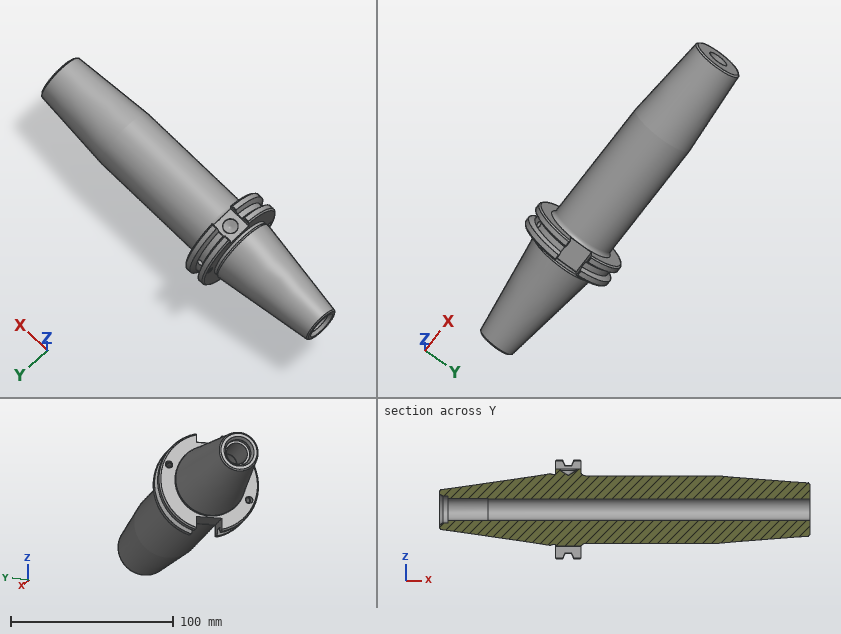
import cadquery as cq
import math


GAUGE_DIAMETER = 44.45
TAPER_RATE = 7 / 24
SHANK_LENGTH = 68.25
SHANK_CHAMFER = 0.8
NECK_DIAMETER = 43.6
NECK_RAMP_LENGTH = 1.2

FLANGE_DIAMETER = 63.5
FLANGE_START = 3.18
FLANGE_END = 19.05
FLANGE_CHAMFER = 1.0
GROOVE_DIAMETER = 56.36
GROOVE_CENTER = 11.1
GROOVE_FLOOR_WIDTH = 3.9
GROOVE_MOUTH_WIDTH = 7.2

BODY_DIAMETER = 42.0
BODY_FILLET = 3.4
BODY_FILLET_HEIGHT = 1.55
NOSE_LENGTH = 160.0
NOSE_DIAMETER = 33.0
NOSE_TAPER_ANGLE = 4.5
NOSE_CHAMFER = 1.0

BORE_DIAMETER = 13.0
THREAD_DIAMETER = 13.39
THREAD_DEPTH = 30.0
COUNTERBORE_DIAMETER = 16.3
COUNTERBORE_DEPTH = 5.2
ENTRY_DIAMETER = 19.05
ENTRY_ANGLE = 30.0

SLOT_WIDTH = 16.1
SLOT_CENTER = (FLANGE_START + FLANGE_END) / 2
UPPER_SLOT_HEIGHT = 25.0
LOWER_SLOT_HEIGHT = 22.6
SLOT_EDGE_CHAMFER = 0.6
DIMPLE_DIAMETER = 9.53
DIMPLE_DEPTH = 1.0
DRILL_POINT_ANGLE = 118.0

COOLANT_CIRCLE_DIAMETER = 54.6
COOLANT_ANGLE = 20.4
COOLANT_TILT = 20.0
COOLANT_MOUTH_DIAMETER = 4.2
COOLANT_MOUTH_DEPTH = 2.0
COOLANT_THREAD_DIAMETER = 3.24
GROOVE_HOLE_DIAMETER = 4.0
GROOVE_HOLE_BOTTOM_RADIUS = 24.0


def revolve_about_x(points):
    """Solid of revolution about X from (x, radius) points."""
    return cq.Workplane("XY").polyline(points).close().revolve(360, (0, 0, 0), (1, 0, 0))


def drill(diameter, depth, start, direction):
    """Cutting body for a blind hole with a conical drill point."""
    radius = diameter / 2
    tip_length = radius / math.tan(math.radians(DRILL_POINT_ANGLE / 2))
    barrel = cq.Solid.makeCylinder(radius, depth, start, direction)
    tip = cq.Solid.makeCone(radius, 0, tip_length, start + direction * depth, direction)
    return barrel.fuse(tip)


def make_shank():
    """Taper, tip chamfer and the short neck between gauge plane and flange."""
    tip_radius = (GAUGE_DIAMETER - SHANK_LENGTH * TAPER_RATE) / 2
    chamfer_end_radius = tip_radius + SHANK_CHAMFER * TAPER_RATE / 2
    return revolve_about_x([
        (-SHANK_LENGTH, 0),
        (-SHANK_LENGTH, tip_radius - SHANK_CHAMFER),
        (-SHANK_LENGTH + SHANK_CHAMFER, chamfer_end_radius),
        (0, GAUGE_DIAMETER / 2),
        (NECK_RAMP_LENGTH, NECK_DIAMETER / 2),
        (FLANGE_START, NECK_DIAMETER / 2),
        (FLANGE_START, 0),
    ])


def make_flange():
    """Chamfered flange disc with its V-groove."""
    radius = FLANGE_DIAMETER / 2
    groove_radius = GROOVE_DIAMETER / 2
    floor_half = GROOVE_FLOOR_WIDTH / 2
    mouth_half = GROOVE_MOUTH_WIDTH / 2
    return revolve_about_x([
        (FLANGE_START, 0),
        (FLANGE_START, radius - FLANGE_CHAMFER),
        (FLANGE_START + FLANGE_CHAMFER, radius),
        (GROOVE_CENTER - mouth_half, radius),
        (GROOVE_CENTER - floor_half, groove_radius),
        (GROOVE_CENTER + floor_half, groove_radius),
        (GROOVE_CENTER + mouth_half, radius),
        (FLANGE_END - FLANGE_CHAMFER, radius),
        (FLANGE_END, radius - FLANGE_CHAMFER),
        (FLANGE_END, 0),
    ])


def make_body():
    """Cylindrical body with root fillet, then the tapered nose with its end chamfer."""
    body_radius = BODY_DIAMETER / 2
    nose_radius = NOSE_DIAMETER / 2
    nose_slope = math.tan(math.radians(NOSE_TAPER_ANGLE))
    nose_start = NOSE_LENGTH - (body_radius - nose_radius) / nose_slope
    root_radius = body_radius + BODY_FILLET_HEIGHT
    drop_angle = math.acos(1 - BODY_FILLET_HEIGHT / BODY_FILLET)
    fillet_end = FLANGE_END + BODY_FILLET * math.sin(drop_angle)
    fillet_middle = (
        fillet_end - BODY_FILLET * math.sin(drop_angle / 2),
        body_radius + BODY_FILLET * (1 - math.cos(drop_angle / 2)),
    )
    profile = (
        cq.Workplane("XY")
        .moveTo(FLANGE_END, 0)
        .lineTo(FLANGE_END, root_radius)
        .threePointArc(fillet_middle, (fillet_end, body_radius))
        .lineTo(nose_start, body_radius)
        .lineTo(NOSE_LENGTH - NOSE_CHAMFER, nose_radius + NOSE_CHAMFER * nose_slope)
        .lineTo(NOSE_LENGTH, nose_radius - NOSE_CHAMFER)
        .lineTo(NOSE_LENGTH, 0)
        .close()
    )
    return profile.revolve(360, (0, 0, 0), (1, 0, 0))


def make_bore():
    """Through bore with tapered entry, counterbore and thread core at the shank end."""
    entry_length = (ENTRY_DIAMETER - COUNTERBORE_DIAMETER) / 2 / math.tan(math.radians(ENTRY_ANGLE))
    return revolve_about_x([
        (-SHANK_LENGTH, 0),
        (-SHANK_LENGTH, ENTRY_DIAMETER / 2),
        (-SHANK_LENGTH + entry_length, COUNTERBORE_DIAMETER / 2),
        (-SHANK_LENGTH + COUNTERBORE_DEPTH, COUNTERBORE_DIAMETER / 2),
        (-SHANK_LENGTH + COUNTERBORE_DEPTH, THREAD_DIAMETER / 2),
        (-SHANK_LENGTH + THREAD_DEPTH, THREAD_DIAMETER / 2),
        (-SHANK_LENGTH + THREAD_DEPTH, BORE_DIAMETER / 2),
        (NOSE_LENGTH, BORE_DIAMETER / 2),
        (NOSE_LENGTH, 0),
    ])


def make_drive_slot(floor_height, side):
    """Slot with chamfered rim across the full flange; side is +1 for the top, -1 for the bottom."""
    half_width = SLOT_WIDTH / 2
    rim_height = math.sqrt((FLANGE_DIAMETER / 2) ** 2 - (half_width + SLOT_EDGE_CHAMFER) ** 2)
    chamfer_bottom = rim_height - SLOT_EDGE_CHAMFER
    overshoot = FLANGE_DIAMETER / 2 - chamfer_bottom
    half_profile = [
        (half_width, floor_height),
        (half_width, chamfer_bottom),
        (half_width + overshoot, chamfer_bottom + overshoot),
    ]
    profile = half_profile + [(-y, z) for y, z in reversed(half_profile)]
    return (
        cq.Workplane("YZ", origin=(FLANGE_START, 0, 0))
        .polyline([(y, side * z) for y, z in profile])
        .close()
        .extrude(FLANGE_END - FLANGE_START)
    )


def make_dimple():
    """Shallow drilled dimple in the floor of the upper slot."""
    start = cq.Vector(SLOT_CENTER, 0, UPPER_SLOT_HEIGHT)
    return drill(DIMPLE_DIAMETER, DIMPLE_DEPTH, start, cq.Vector(0, 0, -1))


def make_coolant_passage(angle):
    """Stepped hole from the flange face, leaning toward the axis, meeting a radial hole in the groove."""
    radial = cq.Vector(0, math.cos(math.radians(angle)), math.sin(math.radians(angle)))
    axial = cq.Vector(1, 0, 0)
    tilt = math.radians(COOLANT_TILT)
    lean = axial * math.cos(tilt) - radial * math.sin(tilt)
    lead = COOLANT_MOUTH_DIAMETER / 2
    start = radial * (COOLANT_CIRCLE_DIAMETER / 2) + axial * FLANGE_START - lean * lead
    feed_length = lead + (GROOVE_CENTER - FLANGE_START) / math.cos(tilt)
    mouth = cq.Solid.makeCylinder(COOLANT_MOUTH_DIAMETER / 2, lead + COOLANT_MOUTH_DEPTH, start, lean)
    feed = cq.Solid.makeCylinder(COOLANT_THREAD_DIAMETER / 2, feed_length, start, lean)
    groove_point = radial * (FLANGE_DIAMETER / 2) + axial * GROOVE_CENTER
    groove_depth = FLANGE_DIAMETER / 2 - GROOVE_HOLE_BOTTOM_RADIUS
    outlet = drill(GROOVE_HOLE_DIAMETER, groove_depth, groove_point, radial * -1)
    return mouth.fuse(feed).fuse(outlet)


result = make_shank().union(make_flange()).union(make_body()).cut(make_bore())
result = result.cut(make_drive_slot(UPPER_SLOT_HEIGHT, 1))
result = result.cut(make_drive_slot(LOWER_SLOT_HEIGHT, -1))
result = result.cut(make_dimple())
for passage_angle in (COOLANT_ANGLE, COOLANT_ANGLE + 180):
    result = result.cut(make_coolant_passage(passage_angle))